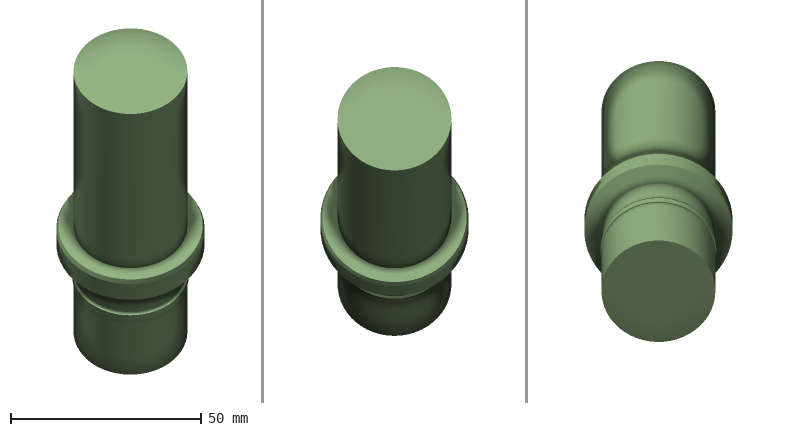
import cadquery as cq

total_length = 104.0
shaft_radius = 15.0
collar_radius = 19.5
groove_radius = 11.9
ridge_projection = 0.3
ridge_radius = shaft_radius + ridge_projection

ridge_bottom = 21.8
ridge_height = 2.2
groove_width = 0.9
collar_bottom = 33.1
collar_cone_height = 2.0
collar_height = 9.5

chamfer_height = 1.2
chamfer_width = 0.5

ridge_top = ridge_bottom + ridge_height
collar_top = collar_bottom + collar_height


def make_shaft():
    """Plain cylinder running the full length, standing on Z = 0."""
    return cq.Workplane("XY").circle(shaft_radius).extrude(total_length)


def make_collar():
    """Collar with a conical underside and a chamfered top edge."""
    return (
        cq.Workplane("XZ")
        .moveTo(0, collar_bottom)
        .lineTo(shaft_radius, collar_bottom)
        .lineTo(collar_radius, collar_bottom + collar_cone_height)
        .lineTo(collar_radius, collar_top - chamfer_height)
        .lineTo(collar_radius - chamfer_width, collar_top)
        .lineTo(0, collar_top)
        .close()
        .revolve(360, (0, 0, 0), (0, 1, 0))
    )


def make_ridge():
    """Slightly raised band directly below the groove."""
    return cq.Workplane("XY").workplane(offset=ridge_bottom).circle(ridge_radius).extrude(ridge_height)


def make_groove():
    """Ring of material removed to form the narrow groove."""
    return (
        cq.Workplane("XY")
        .workplane(offset=ridge_top)
        .circle(ridge_radius)
        .circle(groove_radius)
        .extrude(groove_width)
    )


result = make_shaft().union(make_collar()).union(make_ridge()).cut(make_groove())